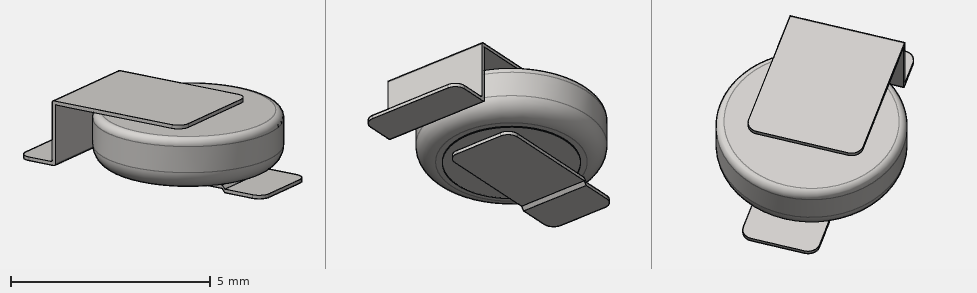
import cadquery as cq

total_length = 7.0
total_height = 1.71
sheet = 0.1
tab_corner_radius = 0.3

cell_diameter = 4.8
cell_center_x = 4.1
cell_top_radius = 0.2
cell_bottom_radius = 0.5
cell_top_z = total_height - sheet

cap_diameter = 3.47
cap_height = 0.03
cap_bottom_z = 2 * sheet
cell_bottom_z = cap_bottom_z + cap_height

positive_width = 3.0
positive_wall_x = 1.0
positive_end_x = 4.9
bend_radius = 0.05

negative_width = 2.0
negative_start_x = 2.78
step_start_x = 5.78
step_length = 0.085


def extrude_strip(profile, width):
    """Extrude a closed XZ profile symmetrically about the XZ plane."""
    return profile.close().extrude(width / 2, both=True)


def round_tab_ends(strip):
    """Round the plan corners at both free ends of a strip."""
    return strip.faces("<X or >X").edges("|Z").fillet(tab_corner_radius)


def make_positive_terminal():
    wall_back_x = positive_wall_x + sheet
    profile = (
        cq.Workplane("XZ")
        .moveTo(0, 0)
        .lineTo(wall_back_x, 0)
        .lineTo(wall_back_x, cell_top_z)
        .lineTo(positive_end_x, cell_top_z)
        .lineTo(positive_end_x, total_height)
        .lineTo(positive_wall_x, total_height)
        .lineTo(positive_wall_x, sheet)
        .lineTo(0, sheet)
    )
    strip = round_tab_ends(extrude_strip(profile, positive_width))
    bend_corners = [
        (positive_wall_x, 0, total_height),
        (positive_wall_x, 0, sheet),
        (wall_back_x, 0, 0),
    ]
    for corner in bend_corners:
        strip = strip.edges(cq.NearestToPointSelector(corner)).fillet(bend_radius)
    return strip


def make_positive_body():
    """Cell can with the positive terminal joined to its top face."""
    can = (
        cq.Workplane("XY", origin=(cell_center_x, 0, cell_bottom_z))
        .circle(cell_diameter / 2)
        .extrude(cell_top_z - cell_bottom_z)
        .faces(">Z").edges().fillet(cell_top_radius)
        .faces("<Z").edges().fillet(cell_bottom_radius)
    )
    return can.union(make_positive_terminal())


def make_negative_terminal():
    step_end_x = step_start_x + step_length
    profile = (
        cq.Workplane("XZ")
        .moveTo(negative_start_x, sheet)
        .lineTo(step_start_x, sheet)
        .lineTo(step_end_x, 0)
        .lineTo(total_length, 0)
        .lineTo(total_length, sheet)
        .lineTo(step_end_x, sheet)
        .lineTo(step_start_x, cap_bottom_z)
        .lineTo(negative_start_x, cap_bottom_z)
    )
    return round_tab_ends(extrude_strip(profile, negative_width))


def make_negative_body():
    """Round cap with the negative terminal joined to its underside."""
    cap = (
        cq.Workplane("XY", origin=(cell_center_x, 0, cap_bottom_z))
        .circle(cap_diameter / 2)
        .extrude(cap_height)
    )
    return cap.union(make_negative_terminal())


positive_body = make_positive_body()
negative_body = make_negative_body()

result = cq.Compound.makeCompound([positive_body.val(), negative_body.val()])